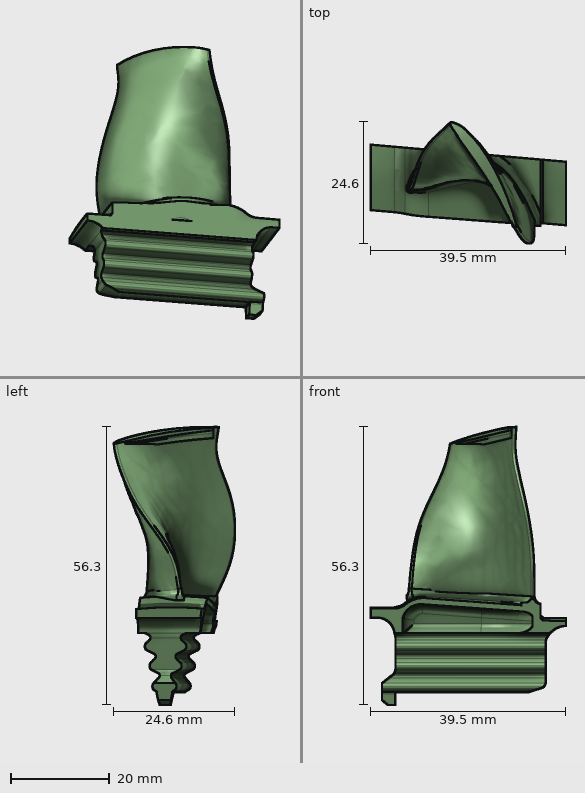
import cadquery as cq
import math


SKEW = 5.0
AXIS_Z = -65.0
FAR = 60.0

ROOT_HALF_LENGTH = 15.23
ROOT_TOP_LEFT = -15.42
ROOT_TOP_RIGHT = 16.16
LEFT_FLARE = [(-15.27, -0.5), (-ROOT_HALF_LENGTH, -1.0)]
RIGHT_FLARE = [(15.58, -0.72), (ROOT_HALF_LENGTH, -1.55)]
ROOT_BOTTOM = -12.02
TOE_X = -17.94
TOE_TOP = -10.15
TOE_BLEND = [(-ROOT_HALF_LENGTH, -7.42), (-15.42, -8.07), (-15.95, -8.6)]
HEEL_START_X = 11.6
HEEL_ARC = [(14.5, -11.1), (15.0, -10.65), (ROOT_HALF_LENGTH, -9.9)]

NECKS = [(3.05, -0.95), (2.0, -4.75), (1.14, -8.65)]
LOBES = [(4.2, -2.7), (3.25, -6.65), (2.45, -10.8)]
NECK_RADIUS = 0.6
LOBE_RADIUS = 0.95
STEEP_FLANK = 45.0
SHALLOW_FLANK = 25.0
SHOULDER_HALF_WIDTH = 4.2
ROOT_BOTTOM_HALF_WIDTH = 1.45

HOOK_TOP_HALF_WIDTH = 1.55
HOOK_BOTTOM_HALF_WIDTH = 1.05
HOOK_TAPER_TOP = -12.36
HOOK_BOTTOM = -14.56
HOOK_CHAMFER_LENGTH = 1.2
HOOK_CHAMFER_HEIGHT = 1.0

PLATFORM_LEFT = -20.19
PLATFORM_RIGHT = 19.33
LEFT_FLANGE_TOP = 5.22
LEFT_FLANGE_BOTTOM = 3.05
LEFT_COVE = [(-18.4, LEFT_FLANGE_BOTTOM), (-16.25, 1.9), (ROOT_TOP_LEFT, 0)]
RIGHT_FLANGE_TOP = 3.05
RIGHT_FLANGE_BOTTOM = 1.41
RIGHT_COVE = [(ROOT_TOP_RIGHT, 0), (17.4, 0.95), (PLATFORM_RIGHT, RIGHT_FLANGE_BOTTOM)]
ARCH_START = (-8.5, 7.37)
ARCH_END = (14.19, 5.9)
ARCH_SLOPE = (ARCH_END[1] - ARCH_START[1]) / (ARCH_END[0] - ARCH_START[0])
ARCH_FOOT = [(-15.4, LEFT_FLANGE_TOP), (-14.3, 5.45), (-13.3, 6.05)]
ARCH_BROW_MIDDLE = (-11.15, 7.2)
STEP_CHAMFER = 0.5
BACK_SIDE = 5.5
FRONT_SIDE = -6.95
FRONT_SIDE_LEAN = 9.0
BLANK_BOTTOM = -5.0
BLANK_TOP = 20.0

POCKET_LEFT = -13.2
POCKET_RIGHT = 13.2
POCKET_CORNER = [(POCKET_LEFT, 2.9), (-12.0, 4.8), (-9.6, 5.85)]
POCKET_RIGHT_TOP = 4.2
POCKET_BACK = -2.5
POCKET_BEND_X = 2.4
POCKET_BEND_RADIUS = 15.0
POCKET_FILLET = 1.9

TIP_LEADING = (-3.8, 11.84)
TIP_TRAILING = (9.0, -9.15)
TIP_CAMBER = 1.7
TIP_THICKNESS = 2.0
SECTIONS = [
    (3.0, (-12.6, -1.9), (12.95, -7.2), 8.2, 4.5),
    (8.0, (-12.5, -1.5), (12.95, -8.9), 8.2, 4.5),
    (12.0, (-12.2, -0.85), (12.9, -10.75), 8.2, 4.8),
    (18.0, (-11.35, 1.6), (12.55, -12.4), 7.4, 4.7),
    (24.0, (-9.55, 5.9), (11.6, -12.45), 5.5, 4.0),
    (30.0, (-6.7, 9.3), (10.25, -11.0), 3.5, 3.1),
    (36.0, (-4.45, 11.4), (9.05, -9.05), 2.3, 2.4),
    (40.0, TIP_LEADING, TIP_TRAILING, TIP_CAMBER, TIP_THICKNESS),
    (43.5, TIP_LEADING, TIP_TRAILING, TIP_CAMBER, TIP_THICKNESS),
]
EDGE_RADIUS = 0.38
SIDE_SPANS = 7
STATION_POWER = 1.5
SWELL_TAPER = 1.5
SWELL_PEAK = 0.5 / (0.5 + SWELL_TAPER)

TIP_LEFT = (-4.0, 38.96)
TIP_RIGHT = (9.1, 42.06)
TIP_SLOPE = (TIP_RIGHT[1] - TIP_LEFT[1]) / (TIP_RIGHT[0] - TIP_LEFT[0])
TIP_AT_ZERO = TIP_LEFT[1] - TIP_SLOPE * TIP_LEFT[0]

LIP_INSET = 1.0
LIP_STEPS = [(2.4, -0.2), (1.4, 0.2), (0.8, 0.8), (-1.0, 0.8)]

COLLAR_RADIUS = 1.4
COLLAR_NOSE = 0.3
COLLAR_GROWTH = 0.25
COLLAR_DEPTH = 1.0
COLLAR_STEPS = 4


def skewed(shape):
    return shape.rotate((0, 0, 0), (0, 0, 1), -SKEW)


def along_y(outline):
    """Solid of an open XZ outline, closed and reaching FAR to both sides of Y = 0."""
    return outline.close().extrude(FAR, both=True)


def revolved_about_axis(outline):
    return outline.close().revolve(360, (0, AXIS_Z, 0), (1, AXIS_Z, 0))


def on_circle(centre, radius, degrees):
    angle = math.radians(degrees)
    return (centre[0] + radius * math.cos(angle), centre[1] + radius * math.sin(angle))


def fir_tree_arcs():
    """Arcs as (start, middle, end) down the +Y side, one for each neck and lobe."""
    neck_angles = (90 + SHALLOW_FLANK, 180, 270 - STEEP_FLANK)
    lobe_angles = (90 - STEEP_FLANK, 0, SHALLOW_FLANK - 90)
    arcs = []
    for (neck_y, neck_z), (lobe_y, lobe_z) in zip(NECKS, LOBES):
        neck = (neck_y + NECK_RADIUS, neck_z)
        lobe = (lobe_y - LOBE_RADIUS, lobe_z)
        arcs.append([on_circle(neck, NECK_RADIUS, angle) for angle in neck_angles])
        arcs.append([on_circle(lobe, LOBE_RADIUS, angle) for angle in lobe_angles])
    return arcs


def fir_tree_bar():
    """Endless bar with the fir-tree profile, running along the skewed direction."""
    outline = (
        cq.Workplane("YZ")
        .moveTo(0, 0)
        .lineTo(SHOULDER_HALF_WIDTH, 0)
    )
    for start, middle, end in fir_tree_arcs():
        outline = outline.lineTo(*start).threePointArc(middle, end)
    outline = outline.lineTo(ROOT_BOTTOM_HALF_WIDTH, ROOT_BOTTOM).lineTo(0, ROOT_BOTTOM)
    half = outline.close().extrude(FAR / 2, both=True)
    return skewed(half.union(half.mirror("XZ")))


def fir_tree():
    side = (
        cq.Workplane("XZ")
        .moveTo(ROOT_TOP_LEFT, 0)
        .threePointArc(*LEFT_FLARE)
        .lineTo(*TOE_BLEND[0])
        .threePointArc(*TOE_BLEND[1:])
        .lineTo(TOE_X, TOE_TOP)
        .lineTo(TOE_X, ROOT_BOTTOM)
        .lineTo(HEEL_START_X, ROOT_BOTTOM)
        .lineTo(*HEEL_ARC[0])
        .threePointArc(*HEEL_ARC[1:])
        .lineTo(*RIGHT_FLARE[1])
        .threePointArc(RIGHT_FLARE[0], (ROOT_TOP_RIGHT, 0))
    )
    return fir_tree_bar().intersect(along_y(side))


def hook():
    top = LOBES[-1][1]
    bar = (
        cq.Workplane("YZ")
        .polyline([
            (-HOOK_TOP_HALF_WIDTH, top),
            (HOOK_TOP_HALF_WIDTH, top),
            (HOOK_TOP_HALF_WIDTH, HOOK_TAPER_TOP),
            (HOOK_BOTTOM_HALF_WIDTH, HOOK_BOTTOM),
            (-HOOK_BOTTOM_HALF_WIDTH, HOOK_BOTTOM),
            (-HOOK_TOP_HALF_WIDTH, HOOK_TAPER_TOP),
        ])
        .close()
        .extrude(-FAR)
    )
    side = cq.Workplane("XZ").polyline([
        (TOE_X, top),
        (TOE_X, HOOK_BOTTOM + HOOK_CHAMFER_HEIGHT),
        (TOE_X + HOOK_CHAMFER_LENGTH, HOOK_BOTTOM),
        (-ROOT_HALF_LENGTH, HOOK_BOTTOM),
        (-ROOT_HALF_LENGTH, top),
    ])
    return skewed(bar).intersect(along_y(side))


def side_walls():
    """Skewed block between the upright +Y side and the leaning -Y side."""
    lean = math.tan(math.radians(FRONT_SIDE_LEAN))
    block = (
        cq.Workplane("YZ")
        .polyline([
            (BACK_SIDE, BLANK_BOTTOM),
            (BACK_SIDE, BLANK_TOP),
            (FRONT_SIDE - lean * BLANK_TOP, BLANK_TOP),
            (FRONT_SIDE - lean * BLANK_BOTTOM, BLANK_BOTTOM),
        ])
        .close()
        .extrude(FAR / 2, both=True)
    )
    return skewed(block)


def platform():
    below_top = (
        cq.Workplane("XZ")
        .moveTo(PLATFORM_LEFT, BLANK_BOTTOM)
        .lineTo(PLATFORM_LEFT, LEFT_FLANGE_TOP)
        .lineTo(*ARCH_FOOT[0])
        .threePointArc(*ARCH_FOOT[1:])
        .threePointArc(ARCH_BROW_MIDDLE, ARCH_START)
        .lineTo(*ARCH_END)
        .lineTo(ARCH_END[0], RIGHT_FLANGE_TOP + STEP_CHAMFER)
        .lineTo(ARCH_END[0] + STEP_CHAMFER, RIGHT_FLANGE_TOP)
        .lineTo(PLATFORM_RIGHT, RIGHT_FLANGE_TOP)
        .lineTo(PLATFORM_RIGHT, BLANK_BOTTOM)
    )
    above_underside = (
        cq.Workplane("XZ")
        .moveTo(PLATFORM_LEFT, LEFT_FLANGE_BOTTOM)
        .lineTo(*LEFT_COVE[0])
        .threePointArc(*LEFT_COVE[1:])
        .lineTo(*RIGHT_COVE[0])
        .threePointArc(*RIGHT_COVE[1:])
        .lineTo(PLATFORM_RIGHT, BLANK_TOP)
        .lineTo(PLATFORM_LEFT, BLANK_TOP)
    )
    crowned = revolved_about_axis(below_top)
    return crowned.intersect(along_y(above_underside)).intersect(side_walls())


def pocket():
    """Cutter that hollows the arch from the -Y side, with a rounded back."""
    outline = (
        cq.Workplane("XZ")
        .moveTo(POCKET_LEFT, 0)
        .lineTo(*POCKET_CORNER[0])
        .threePointArc(*POCKET_CORNER[1:])
        .lineTo(POCKET_RIGHT, POCKET_RIGHT_TOP)
        .lineTo(POCKET_RIGHT, 0)
    )
    bend_centre = (POCKET_BEND_X, POCKET_BACK - POCKET_BEND_RADIUS)
    turn = math.degrees(math.asin((POCKET_RIGHT - POCKET_BEND_X) / POCKET_BEND_RADIUS))
    bend_middle = on_circle(bend_centre, POCKET_BEND_RADIUS, 90 - turn / 2)
    bend_end = on_circle(bend_centre, POCKET_BEND_RADIUS, 90 - turn)
    plan = (
        cq.Workplane("XY")
        .moveTo(POCKET_LEFT, -FAR / 2)
        .lineTo(POCKET_LEFT, POCKET_BACK)
        .lineTo(POCKET_BEND_X, POCKET_BACK)
        .threePointArc(bend_middle, bend_end)
        .lineTo(POCKET_RIGHT, -FAR / 2)
        .close()
        .extrude(BLANK_TOP)
    )
    block = along_y(outline).intersect(plan)
    return skewed(block.faces(">Y").edges().fillet(POCKET_FILLET))


def swell(s):
    """Share of the full thickness at chord fraction s."""
    peak = math.sqrt(SWELL_PEAK) * (1 - SWELL_PEAK) ** SWELL_TAPER
    return math.sqrt(s) * (1 - s) ** SWELL_TAPER / peak


def airfoil_section(z, leading, trailing, camber, thickness, flare=0.0, slope=0.0):
    """Closed wire about a parabolic camber line.

    The section is widened by flare, and its plane rises by slope along X from Z = z at X = 0.
    """
    chord = math.dist(leading, trailing)
    ux = (trailing[0] - leading[0]) / chord
    uy = (trailing[1] - leading[1]) / chord
    stations = [(i / SIDE_SPANS) ** STATION_POWER for i in range(SIDE_SPANS + 1)]

    def place(along, across):
        x = leading[0] + ux * along - uy * across
        y = leading[1] + uy * along + ux * across
        return cq.Vector(x, y, z + slope * x)

    def side(sign):
        points = []
        for s in stations:
            middle = 4 * camber * s * (1 - s)
            angle = math.atan(4 * camber * (1 - 2 * s) / chord)
            flare_share = COLLAR_NOSE + (1 - COLLAR_NOSE) * min(1, s / COLLAR_GROWTH)
            half = EDGE_RADIUS + swell(s) * (thickness / 2 - EDGE_RADIUS) + flare * flare_share
            along = EDGE_RADIUS + s * (chord - 2 * EDGE_RADIUS)
            across = middle + sign * half * math.cos(angle)
            points.append(place(along - sign * half * math.sin(angle), across))
        return points

    suction = side(1)
    pressure = side(-1)
    end_angle = math.atan(4 * camber / chord)
    reach = EDGE_RADIUS * math.cos(end_angle)
    drop = EDGE_RADIUS * math.sin(end_angle)
    nose = place(EDGE_RADIUS - reach - COLLAR_NOSE * flare, -drop)
    tail = place(chord - EDGE_RADIUS + reach + flare, -drop)
    backward = [1 - s for s in reversed(stations)]
    return cq.Wire.assembleEdges([
        cq.Edge.makeSpline(suction, parameters=stations),
        cq.Edge.makeThreePointArc(suction[-1], tail, pressure[-1]),
        cq.Edge.makeSpline(pressure[::-1], parameters=backward),
        cq.Edge.makeThreePointArc(pressure[0], nose, suction[0]),
    ])


def tip_lip():
    """Thin lip that overhangs the pressure side, rooted in the middle of the airfoil."""
    inset = LIP_INSET / math.dist(TIP_LEADING, TIP_TRAILING)
    nose = [a + (b - a) * inset for a, b in zip(TIP_LEADING, TIP_TRAILING)]
    tail = [b + (a - b) * inset for a, b in zip(TIP_LEADING, TIP_TRAILING)]
    wires = []
    for depth, overhang in LIP_STEPS:
        thickness = TIP_THICKNESS / 2 + overhang
        camber = TIP_CAMBER - thickness / 2
        z = TIP_AT_ZERO - depth
        wires.append(airfoil_section(z, nose, tail, camber, thickness, slope=TIP_SLOPE))
    return cq.Workplane(cq.Solid.makeLoft(wires, True))


def below_tip():
    """Solid of revolution under the conical tip surface."""
    outline = cq.Workplane("XZ").polyline([
        (PLATFORM_LEFT, BLANK_BOTTOM),
        (PLATFORM_LEFT, TIP_AT_ZERO + TIP_SLOPE * PLATFORM_LEFT),
        (PLATFORM_RIGHT, TIP_AT_ZERO + TIP_SLOPE * PLATFORM_RIGHT),
        (PLATFORM_RIGHT, BLANK_BOTTOM),
    ])
    return revolved_about_axis(outline)


def airfoil():
    blade = cq.Workplane(cq.Solid.makeLoft([airfoil_section(*section) for section in SECTIONS]))
    return blade.union(tip_lip()).intersect(below_tip())


def airfoil_collar():
    """Concave flare that blends the airfoil into the sloping top of the arch."""
    _, leading, trailing, camber, thickness = SECTIONS[1]
    floor = ARCH_START[1] - ARCH_SLOPE * ARCH_START[0]
    levels = [(floor - COLLAR_DEPTH, COLLAR_RADIUS)]
    for i in range(COLLAR_STEPS + 1):
        angle = math.pi / 2 * i / COLLAR_STEPS
        height = COLLAR_RADIUS * (1 - math.cos(angle))
        levels.append((floor + height, COLLAR_RADIUS * (1 - math.sin(angle))))
    wires = [
        airfoil_section(z, leading, trailing, camber, thickness, flare, ARCH_SLOPE)
        for z, flare in levels
    ]
    collar = cq.Workplane(cq.Solid.makeLoft(wires))
    left_of_step = cq.Workplane().box(2 * ARCH_END[0], FAR, FAR)
    return collar.intersect(side_walls()).intersect(left_of_step)


body = platform().union(airfoil()).union(airfoil_collar())
result = body.cut(pocket()).union(fir_tree()).union(hook())